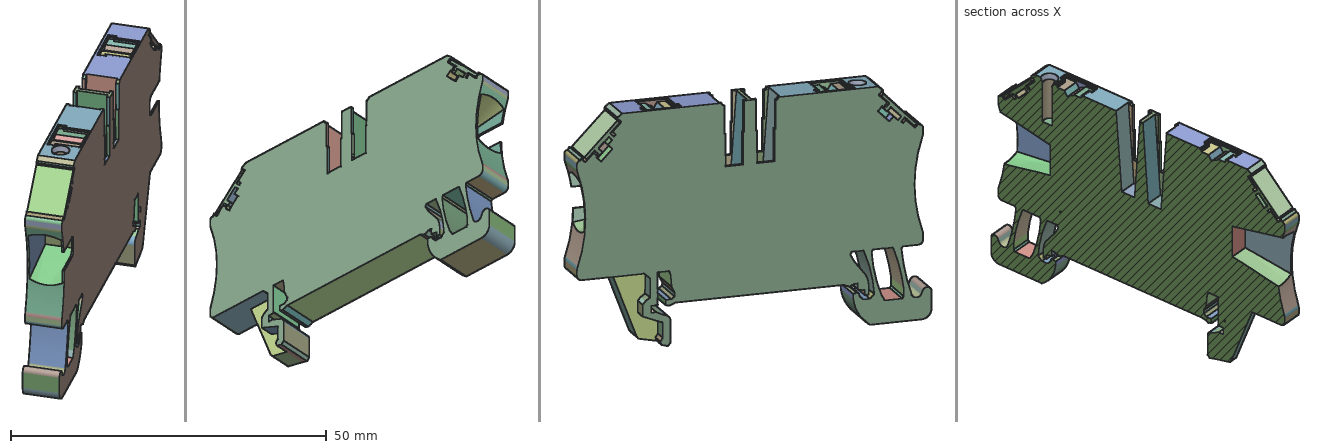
import cadquery as cq
import math

length = 59.55
width = 6.1
side = width / 2
body_half = 29.05
top_z = 39.4
body_bottom_z = 12.45
rail_z = 7.1
foot_tip_y = body_half - length

waist_y = 27.6
waist_top_z = 30.9
waist_bottom_z = 14.15
waist_blend_rise = 0.6
waist_blend_inset = 0.1
waist_blend_radius = 1.65
bottom_corner = 0.85
nose_z = 31.8
nose_round = 0.55

strip_centre_y = 25.1
strip_centre_z = 35.5
strip_length = 8.1
strip_thickness = 0.565
strip_slit = 0.1
strip_end_gap = 0.25
strip_half_rise = strip_length / 2 * math.sin(math.radians(45))
catch_depth = 1.8

upper_lip = ((0.1, 0.2), (0, 0.5))
lower_lip = (0.2, 0.25)
top_bevel = 0.8

opening_floor_z = 28.8
opening_step_z = 34.2
opening_outer = 4.3
opening_inner = 1.0
opening_step = 0.2
opening_round = 0.5
cheek = 0.55
cavity_floor_z = 24.4
cavity_outer_top = 5.05
cavity_outer_bottom = 3.9
partition_top = 0.35
partition_bottom = 1.4

pocket_y = 14.6
pocket_half = 2.7
pocket_head_half = 3.2
pocket_head_x = (-2.55, -1.15)
pocket_lip = 0.3
pocket_lip_depth = 0.2
pocket_depth = 0.55
pocket_wall = 0.2
valley_left = 1.0
valley_bottom = 0.1
valley_right = -0.95
valley_depth = 0.95
valley_drop = 0.5
valley_radius = 1.3

screw_y = -19.05
screw_radius = 1.1
screw_mouth_radius = 1.4
screw_mouth_depth = 0.9
screw_depth = 8.35

entry_x = (-2.7, 2.75)
entry_back_y = 18.45
entry_back_z = (21.45, 27.15)
entry_side_z = (20.2, 28.7)
entry_crown_z = (19.4, 29.35)
wall_slot_z = (22.6, 26.2)
wall_slot_depth = 5.35
wall_slot_round = 0.9

web_face_x = -0.7


def plate(outline, x_from=-side, x_to=side):
    """Extrude a closed YZ outline between two X positions."""
    return outline.close().extrude(x_to - x_from).translate((x_from, 0, 0))


def yz(y, z):
    """Start an outline in the YZ plane."""
    return cq.Workplane("YZ").moveTo(y, z)


def block(x, y, z):
    """Box between pairs of X, Y and Z limits."""
    return cq.Workplane("XY").box(
        x[1] - x[0], y[1] - y[0], z[1] - z[0], centered=False
    ).translate((x[0], y[0], z[0]))


def mirrored(solid):
    """The solid together with its mirror image about Y = 0."""
    return solid.union(solid.mirror("XZ"))


def half_housing():
    """Housing on the +Y side, down to the level of its lower edge."""
    strip_low = (strip_centre_y + strip_half_rise, strip_centre_z - strip_half_rise)
    strip_high = (strip_centre_y - strip_half_rise, strip_centre_z + strip_half_rise)
    blend_y = body_half - waist_blend_inset
    waist_mid_z = (waist_top_z + waist_bottom_z) / 2
    outline = (
        yz(0, body_bottom_z)
        .lineTo(body_half - bottom_corner, body_bottom_z)
        .radiusArc((body_half, body_bottom_z + bottom_corner), -bottom_corner)
        .lineTo(body_half, waist_bottom_z)
        .radiusArc((blend_y, waist_bottom_z + waist_blend_rise), -waist_blend_radius)
        .threePointArc((waist_y, waist_mid_z), (blend_y, waist_top_z - waist_blend_rise))
        .radiusArc((body_half, waist_top_z), -waist_blend_radius)
        .lineTo(body_half, nose_z)
        .radiusArc((body_half - nose_round, nose_z + nose_round), -nose_round)
        .lineTo(strip_low[0] + lower_lip[0], strip_low[1] + lower_lip[1])
        .lineTo(*strip_low)
        .lineTo(*strip_high)
        .lineTo(strip_high[0] + upper_lip[0][0], strip_high[1] + upper_lip[0][1])
        .lineTo(strip_high[0] + upper_lip[1][0], strip_high[1] + upper_lip[1][1])
        .lineTo(strip_high[0] - top_bevel, top_z)
        .lineTo(0, top_z)
    )
    return plate(outline)


def rail_body():
    """Lower middle of the housing that rests on the rail, with its two hooks."""
    outline = (
        yz(13.6, body_bottom_z)
        .lineTo(13.35, 11.8)
        .lineTo(13.15, 9.75)
        .lineTo(12.6, 8.7)
        .lineTo(12.7, 8.15)
        .lineTo(13.2, 7.75)
        .lineTo(14.15, 7.75)
        .lineTo(14.15, 6.85)
        .lineTo(13.6, 6.65)
        .lineTo(12.55, rail_z)
        .lineTo(-15.8, rail_z)
        .lineTo(-16.65, 6.65)
        .lineTo(-17.55, rail_z)
        .lineTo(-18.1, rail_z)
        .lineTo(-18.1, 6.1)
        .lineTo(-19.2, 5.85)
        .lineTo(-19.2, 5.05)
        .lineTo(-19.9, 5.05)
        .lineTo(-19.9, 6.4)
        .threePointArc((-19.75, 7.5), (-19.35, 8.45))
        .lineTo(-17.45, 10.9)
        .lineTo(-16.85, 12.0)
        .lineTo(-17.1, body_bottom_z)
    )
    return plate(outline)


def fixed_foot():
    """Foot on the +Y side: a cranked rib backed by a thinner web."""
    rib = (
        yz(16.4, body_bottom_z)
        .lineTo(15.55, body_bottom_z)
        .lineTo(15.55, 7.25)
        .lineTo(15.4, 7.0)
        .lineTo(16.55, 6.95)
        .lineTo(16.55, 5.85)
        .lineTo(15.7, 5.85)
        .lineTo(14.3, 5.2)
        .threePointArc((13.6, 4.8), (13.35, 4.15))
        .lineTo(13.35, 0.55)
        .lineTo(13.8, 0)
        .lineTo(14.8, 0.3)
        .lineTo(15.05, 0.9)
        .lineTo(14.65, 1.5)
        .lineTo(14.65, 4.0)
        .lineTo(18.05, 5.35)
        .lineTo(18.05, 7.3)
        .lineTo(17.55, 7.85)
        .lineTo(16.8, 8.4)
        .lineTo(16.8, 11.55)
        .lineTo(17.75, body_bottom_z)
    )
    web = (
        yz(22.45, body_bottom_z)
        .lineTo(18.2, 1.35)
        .lineTo(17.85, 0.95)
        .lineTo(14.3, 0.2)
        .lineTo(14.3, 4.45)
        .lineTo(17.25, 5.65)
        .lineTo(16.4, body_bottom_z)
    )
    return plate(rib).union(plate(web, web_face_x, side))


def spring_foot():
    """Foot on the -Y side: a hooked clip hung from two flexible legs."""
    outline = (
        yz(-25.65, body_bottom_z)
        .lineTo(-25.4, 12.15)
        .threePointArc((-26.0, 8.35), (-27.1, 4.4))
        .threePointArc((-27.9, 3.75), (-28.7, 4.15))
        .lineTo(-29.0, 4.8)
        .threePointArc((-30.1, 5.2), (foot_tip_y, 4.6))
        .lineTo(foot_tip_y, 1.8)
        .threePointArc((-30.0, 0.55), (-28.8, 0))
        .lineTo(-20.1, 0)
        .threePointArc((-18.3, 1.9), (-17.3, 4.6))
        .lineTo(-17.3, 5.4)
        .lineTo(-17.85, 5.6)
        .lineTo(-18.35, 5.35)
        .lineTo(-18.35, 5.05)
        .lineTo(-19.0, 4.35)
        .lineTo(-20.1, 4.35)
        .lineTo(-20.85, 5.05)
        .threePointArc((-20.35, 8.45), (-19.15, 12.15))
        .lineTo(-19.05, body_bottom_z)
    )
    window = (
        yz(-20.6, body_bottom_z)
        .lineTo(-20.4, 12.0)
        .threePointArc((-20.9, 8.65), (-22.0, 4.8))
        .lineTo(-22.6, 3.8)
        .lineTo(-25.55, 3.8)
        .lineTo(-25.8, 4.15)
        .lineTo(-25.8, 5.55)
        .threePointArc((-25.1, 8.9), (-24.1, 12.15))
        .lineTo(-23.95, body_bottom_z)
    )
    return plate(outline).cut(plate(window))


def strip_cutter(y_sign):
    """Slits and windows around a marker strip.

    They are laid out with -Z pointing into the housing and reversed along Y,
    so both strips share one direction of travel, then turned onto the
    +Y corner (y_sign = 1) or the -Y corner (y_sign = -1).
    """
    half = strip_length / 2
    slit_bottom = strip_thickness + strip_slit
    end = half + strip_end_gap
    full = (-side, side)
    openings = [
        ((-end, -half), (0, slit_bottom)),
        ((-half, strip_end_gap - half), (-0.6, slit_bottom)),
        ((half, end), (0, slit_bottom)),
        ((-end, -1.9), (strip_thickness, slit_bottom)),
        ((1.8, end), (strip_thickness, slit_bottom)),
        ((-1.25, 1.2), (0.85, 1.6)),
        ((-2.25, -1.9), (strip_thickness, 1.3)),
        ((1.8, 2.2), (strip_thickness, 1.4)),
    ]
    cutter = cq.Workplane("XY")
    for along, depth in openings:
        cutter = cutter.union(block(full, along, (-depth[1], -depth[0])))
    catch = block((-side, -side + catch_depth), (-2.5, 0.2), (-2.7, -1.6))
    stem = block((-side, side), (-1.9, -1.25), (-1.8, 0))
    cutter = cutter.union(catch).cut(stem)
    cutter = cutter.mirror("XZ").rotate((0, 0, 0), (1, 0, 0), -45 * y_sign)
    return cutter.translate((0, y_sign * strip_centre_y, strip_centre_z))


def central_opening():
    """One through opening beside the partition, widened between the cheeks."""
    rounded_z = top_z - opening_round
    through = (
        yz(opening_inner, top_z)
        .lineTo(opening_inner, opening_step_z)
        .lineTo(opening_inner + opening_step, opening_step_z)
        .lineTo(opening_inner + opening_step, opening_floor_z)
        .lineTo(opening_outer - opening_step, opening_floor_z)
        .lineTo(opening_outer - opening_step, opening_step_z)
        .lineTo(opening_outer, opening_step_z)
        .lineTo(opening_outer, rounded_z)
        .radiusArc((opening_outer + opening_round, top_z), -opening_round)
    )
    cavity = (
        yz(partition_top, top_z)
        .lineTo(partition_bottom, cavity_floor_z)
        .lineTo(cavity_outer_bottom, cavity_floor_z)
        .lineTo(cavity_outer_top, top_z)
    )
    return plate(through).union(plate(cavity, -side + cheek, side - cheek))


def top_pocket(y):
    """T-shaped stepped pocket with a rounded valley across its floor."""
    back_x = side - pocket_wall

    def tee(inset, depth):
        z = (top_z - depth, top_z)
        half = pocket_half - inset
        head = pocket_head_half - inset
        head_x = (pocket_head_x[0] + inset / 2, pocket_head_x[1] - inset)
        stem = block((head_x[0], back_x - inset), (-half, half), z)
        return stem.union(block(head_x, (-head, head), z))

    floor_z = top_z - pocket_depth
    valley_z = floor_z - valley_depth
    valley = (
        yz(valley_left, floor_z)
        .radiusArc((valley_bottom, valley_z + valley_drop), valley_radius)
        .lineTo(valley_bottom - valley_drop, valley_z)
        .lineTo(valley_right, floor_z)
    )
    valley_x = (pocket_head_x[0] + pocket_lip / 2, back_x - pocket_lip)
    cutter = tee(0, pocket_lip_depth).union(tee(pocket_lip, pocket_depth))
    cutter = cutter.union(plate(valley, *valley_x))
    return cutter.translate((0, y, 0))


def screw_hole():
    """Countersunk hole for the clamping screw."""
    mouth = (0, screw_y, top_z)
    down = (0, 0, -1)
    bore = cq.Solid.makeCylinder(screw_radius, screw_depth, mouth, down)
    countersink = cq.Solid.makeCone(screw_mouth_radius, screw_radius, screw_mouth_depth, mouth, down)
    return cq.Workplane(bore).union(cq.Workplane(countersink))


def wire_entry():
    """Funnel in the +Y end face, opening through a slot in the +X wall."""
    mid_x = (entry_x[0] + entry_x[1]) / 2
    funnel = (
        cq.Workplane("XZ", origin=(0, entry_back_y, 0))
        .moveTo(entry_x[0], entry_back_z[0])
        .lineTo(entry_x[1], entry_back_z[0])
        .lineTo(entry_x[1], entry_back_z[1])
        .lineTo(entry_x[0], entry_back_z[1])
        .close()
        .workplane(offset=entry_back_y - body_half)
        .moveTo(entry_x[0], entry_side_z[0])
        .threePointArc((mid_x, entry_crown_z[0]), (entry_x[1], entry_side_z[0]))
        .lineTo(entry_x[1], entry_side_z[1])
        .threePointArc((mid_x, entry_crown_z[1]), (entry_x[0], entry_side_z[1]))
        .close()
        .loft(ruled=True, combine=True)
    )
    slot = block((mid_x, side), (waist_y - wall_slot_depth, body_half), wall_slot_z)
    slot = slot.edges("|X and <Y").fillet(wall_slot_round)
    return funnel.union(slot)


result = mirrored(half_housing()).union(rail_body()).union(fixed_foot()).union(spring_foot())
result = result.cut(mirrored(central_opening())).cut(mirrored(wire_entry())).cut(screw_hole())
for sign in (1, -1):
    result = result.cut(strip_cutter(sign)).cut(top_pocket(sign * pocket_y))